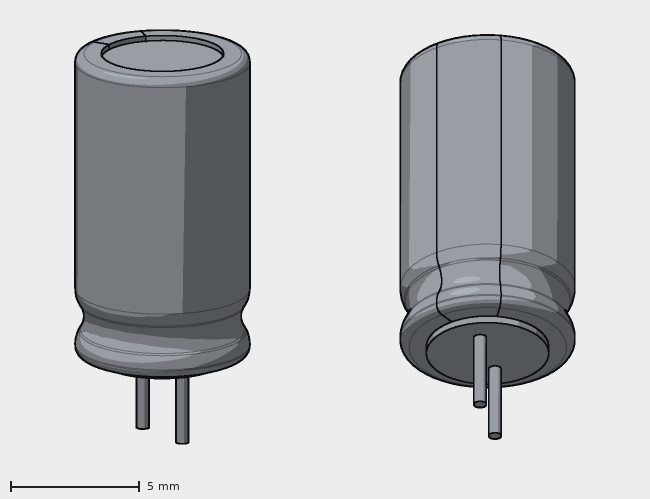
import cadquery as cq
import math


sleeve_diameter = 6.8
sleeve_height = 12.2
rim_round = 0.34
core_diameter = 4.76
top_recess_depth = 0.2
seal_thickness = 0.3
waist_center = 1.52
waist_height = 2.26
flank_height = 0.08
flank_angle = 31.2
stripe_angle = 44.5
lead_diameter = 0.5
lead_length = 3.0
lead_pitch = 2.5

sleeve_radius = sleeve_diameter / 2
core_radius = core_diameter / 2
sleeve_bottom = seal_thickness
sleeve_top = sleeve_bottom + sleeve_height
waist_z = sleeve_bottom + waist_center
flank_slope = math.radians(flank_angle)
arc_height = (waist_height / 2 - flank_height) / 2
arc_radius = arc_height / math.sin(flank_slope)
arc_depth = arc_radius * (1 - math.cos(flank_slope))
arc_mid_height = arc_radius * math.sin(flank_slope / 2)
arc_mid_depth = arc_radius * (1 - math.cos(flank_slope / 2))
flank_depth = flank_height * math.tan(flank_slope)
waist_depth = 2 * arc_depth + flank_depth


def make_jacket_sector(angle, start_angle):
    """Sector of the waisted jacket around the core, starting at start_angle from +X."""
    rim_mid_offset = rim_round * (1 - math.sqrt(0.5))
    rim_radius = sleeve_radius - rim_round
    rim_mid_radius = sleeve_radius - rim_mid_offset
    shoulder_end_radius = sleeve_radius - arc_depth
    groove_end_radius = shoulder_end_radius - flank_depth
    waist_bottom = waist_z - waist_height / 2
    waist_top = waist_z + waist_height / 2
    shoulder_mid_radius = sleeve_radius - arc_mid_depth

    profile = (
        cq.Workplane("XZ")
        .moveTo(core_radius, sleeve_bottom)
        .lineTo(rim_radius, sleeve_bottom)
        .threePointArc(
            (rim_mid_radius, sleeve_bottom + rim_mid_offset),
            (sleeve_radius, sleeve_bottom + rim_round),
        )
        .lineTo(sleeve_radius, waist_bottom)
        .threePointArc(
            (shoulder_mid_radius, waist_bottom + arc_mid_height),
            (shoulder_end_radius, waist_bottom + arc_height),
        )
        .lineTo(groove_end_radius, waist_z - arc_height)
        .threePointArc(
            (sleeve_radius - waist_depth, waist_z),
            (groove_end_radius, waist_z + arc_height),
        )
        .lineTo(shoulder_end_radius, waist_top - arc_height)
        .threePointArc(
            (shoulder_mid_radius, waist_top - arc_mid_height),
            (sleeve_radius, waist_top),
        )
        .lineTo(sleeve_radius, sleeve_top - rim_round)
        .threePointArc(
            (rim_mid_radius, sleeve_top - rim_mid_offset),
            (rim_radius, sleeve_top),
        )
        .lineTo(core_radius, sleeve_top)
        .close()
    )
    sector = profile.revolve(angle, (0, 0, 0), (0, 1, 0))
    return sector.rotate((0, 0, 0), (0, 0, 1), start_angle)


def make_core():
    """Cylindrical core whose top face is the floor of the shallow top recess."""
    core_height = sleeve_height - top_recess_depth
    return cq.Workplane("XY", origin=(0, 0, sleeve_bottom)).circle(core_radius).extrude(core_height)


def make_seal():
    """Disc under the sleeve and the core."""
    return cq.Workplane("XY").circle(core_radius).extrude(seal_thickness)


def make_lead(x):
    """Straight wire lead hanging from the underside of the seal."""
    return cq.Workplane("XY").center(x, 0).circle(lead_diameter / 2).extrude(-lead_length)


stripe_start = 180 - stripe_angle / 2
stripe = make_jacket_sector(stripe_angle, stripe_start)
sleeve = make_jacket_sector(360 - stripe_angle, stripe_start + stripe_angle)
core = make_core()
seal = make_seal()
leads = [make_lead(side * lead_pitch / 2) for side in (-1, 1)]

result = cq.Compound.makeCompound(
    [sleeve.val(), stripe.val(), core.val(), seal.val(), *[lead.val() for lead in leads]]
)